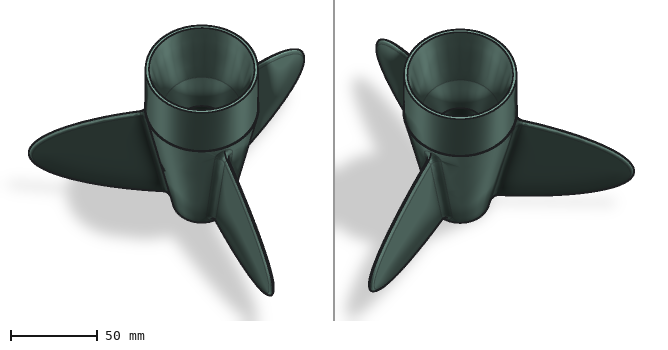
import cadquery as cq
HEIGHT = 120.0
COLLAR_BASE_Z = 85.0
COLLAR_RADIUS = 65.0 / 2
BODY_BOTTOM_RADIUS = 17.0
BODY_TOP_RADIUS = 33.0

HOLE_RADIUS = 30.2 / 2
HOLE_TOP_Z = 67.5
BORE_MIDDLE_RADIUS = 22.4
COLLAR_WALL = 2.0
BORE_TOP_RADIUS = COLLAR_RADIUS - COLLAR_WALL

BLADE_COUNT = 3
BLADE_THICKNESS = 3.0
EDGE_RADIUS = 2.4
BLANK_THICKNESS = 2 * EDGE_RADIUS
ROOT_FILLET = 5.0

LOWER_ROOT = (16.8, 5.54)
LOWER_CONTROL = (84.4, 0.7)
TIP_CONTROL = (155.83, 23.4)
UPPER_CONTROL = (73.2, 67.3)
UPPER_ROOT = (27.0, 79.28)


def make_hub_body():
    """Solid hub of revolution, before it is bored, with its seam at -X, clear of every blade."""
    outline = [
        (0, 0),
        (BODY_BOTTOM_RADIUS, 0),
        (BODY_TOP_RADIUS, COLLAR_BASE_Z),
        (COLLAR_RADIUS, COLLAR_BASE_Z),
        (COLLAR_RADIUS, HEIGHT),
        (0, HEIGHT),
    ]
    hub = cq.Workplane("XZ").polyline(outline).close().revolve(360, (0, 0), (0, 1))
    return hub.rotate((0, 0, 0), (0, 0, 1), 180)


def make_bore():
    """Volume removed from the hub: a straight hole below two cones."""
    outline = [
        (0, 0),
        (HOLE_RADIUS, 0),
        (HOLE_RADIUS, HOLE_TOP_Z),
        (BORE_MIDDLE_RADIUS, COLLAR_BASE_Z),
        (BORE_TOP_RADIUS, HEIGHT),
        (0, HEIGHT),
    ]
    return cq.Workplane("XZ").polyline(outline).close().revolve(360, (0, 0), (0, 1))


def make_blade():
    """Blade along +X, made of two mirrored halves that meet in a ridge around the edge."""
    face_y = -BLADE_THICKNESS / 2
    plate = (
        cq.Workplane("XZ", origin=(0, face_y, 0))
        .moveTo(*LOWER_ROOT)
        .bezier([LOWER_ROOT, LOWER_CONTROL, TIP_CONTROL, UPPER_CONTROL, UPPER_ROOT])
        .close()
        .extrude(-BLANK_THICKNESS)
    )
    rounded = plate.faces("<Y").edges("not %LINE").fillet(EDGE_RADIUS)
    half = rounded.copyWorkplane(cq.Workplane("XZ")).split(keepTop=True)
    return half.union(half.mirror("XZ"))


def blade_root_edges(hub_with_blades):
    """Edges where the blade faces meet the tapered body."""
    body_faces = hub_with_blades.faces("%CONE").vals()
    return hub_with_blades.newObject(
        [edge for face in body_faces for wire in face.innerWires() for edge in wire.Edges()]
    )


propeller = make_hub_body()
for index in range(BLADE_COUNT):
    angle = index * 360.0 / BLADE_COUNT
    propeller = propeller.union(make_blade().rotate((0, 0, 0), (0, 0, 1), angle))

propeller = blade_root_edges(propeller).fillet(ROOT_FILLET)
result = propeller.cut(make_bore())